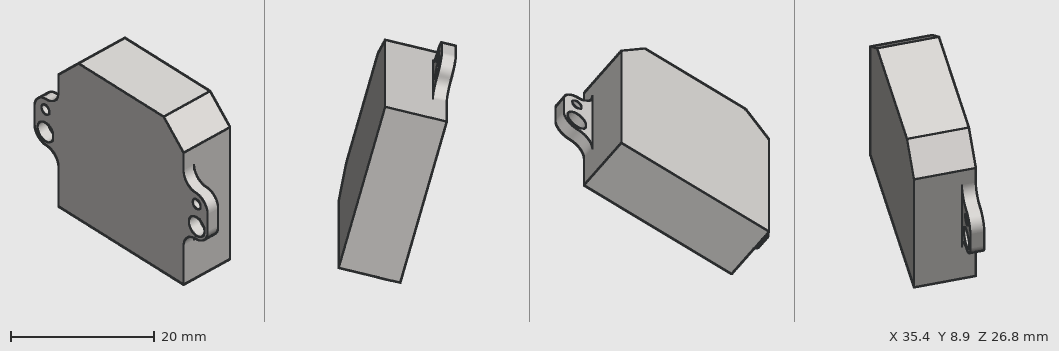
import cadquery as cq

body_width = 25.5
body_depth = 8.9
body_height = 26.82
corner_chamfer = 4.05

overall_width = 35.35
ear_thickness = 2.0
ear_bottom = 9.22
ear_top = 17.18

hole_offset = 15.4
large_hole_diameter = 3.18
large_hole_height = 11.45
small_hole_diameter = 1.6
small_hole_height = 15.3

half_body = body_width / 2
half_overall = overall_width / 2
ear_radius = (half_overall - half_body) / 2


def front_plane():
    """XZ plane of the front face; its normal is -Y, so negative extrusions go into the part."""
    return cq.Workplane("XZ")


def make_body():
    block = front_plane().rect(body_width, body_height).extrude(-body_depth)
    block = block.translate((0, 0, body_height / 2))
    return block.edges("|Y and >Z").chamfer(corner_chamfer)


def make_ear(side):
    """Ear on the -X (side = -1) or +X (side = 1) flank."""
    root = side * half_body
    middle = side * (half_body + ear_radius)
    tip = side * half_overall
    bend = ear_radius * 0.5 ** 0.5
    rise = ear_radius - bend
    root_mid = side * (half_body + rise)
    tip_mid = side * (half_body + ear_radius + bend)
    return (
        front_plane()
        .moveTo(root, ear_bottom - ear_radius)
        .threePointArc((root_mid, ear_bottom - rise), (middle, ear_bottom))
        .threePointArc((tip_mid, ear_bottom + rise), (tip, ear_bottom + ear_radius))
        .lineTo(tip, ear_top - ear_radius)
        .threePointArc((tip_mid, ear_top - rise), (middle, ear_top))
        .threePointArc((root_mid, ear_top + rise), (root, ear_top + ear_radius))
        .lineTo(0, ear_top + ear_radius)
        .lineTo(0, ear_bottom - ear_radius)
        .close()
        .extrude(-ear_thickness)
    )


def make_hole(side, height, diameter):
    return (
        front_plane()
        .center(side * hole_offset, height)
        .circle(diameter / 2)
        .extrude(-ear_thickness)
    )


result = make_body()
for side in (-1, 1):
    result = result.union(make_ear(side))
    result = result.cut(make_hole(side, large_hole_height, large_hole_diameter))
    result = result.cut(make_hole(side, small_hole_height, small_hole_diameter))